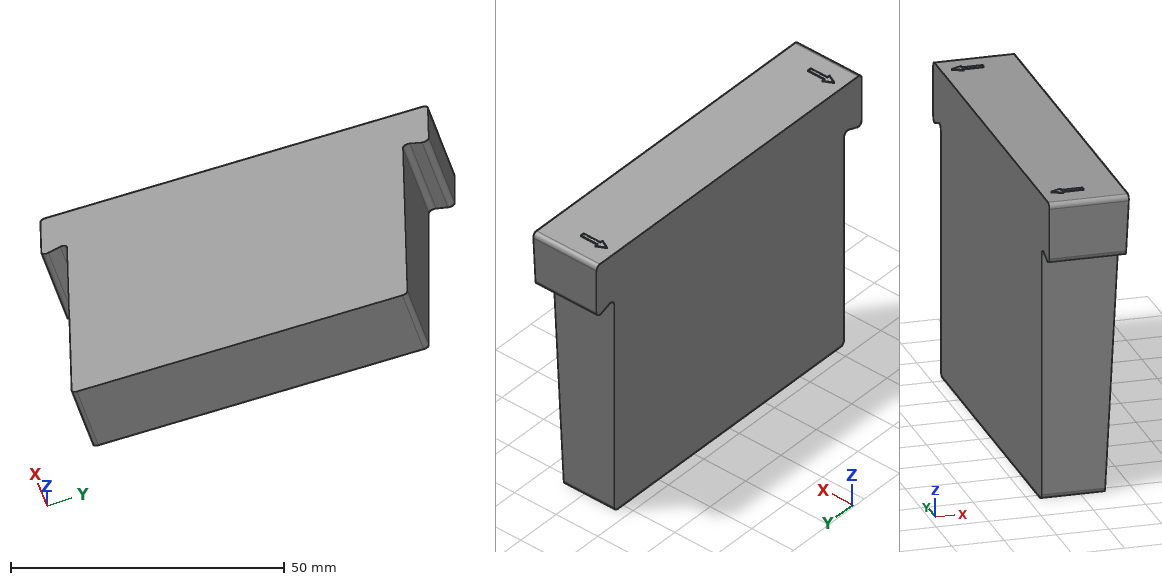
import cadquery as cq
import math

height = 60.0
top_thickness = 15.25
draft_angle = 3.0
bottom_thickness = top_thickness - height * math.tan(math.radians(draft_angle))

head_width = 75.0
blade_width = 65.0
hook_depth = 12.2
hook_angle = 20.0
corner_radius = 1.0

arrow_relief = 0.2
arrow_tip_x = 2.0
arrow_neck_x = 4.0
arrow_tail_x = 8.0
arrow_head_width = 2.0
arrow_shaft_width = 0.8
arrow_offset_y = 32.1


def make_plate():
    """T-shaped plate with rounded edges and hooked shoulders."""
    half_head = head_width / 2
    half_blade = blade_width / 2
    hook_z = height - hook_depth
    root_z = hook_z + (half_head - half_blade) * math.tan(math.radians(hook_angle))
    return (
        cq.Workplane("YZ")
        .polyline([
            (-half_blade, 0),
            (half_blade, 0),
            (half_blade, root_z),
            (half_head, hook_z),
            (half_head, height),
            (-half_head, height),
            (-half_head, hook_z),
            (-half_blade, root_z),
        ])
        .close()
        .extrude(top_thickness)
        .edges("|X")
        .fillet(corner_radius)
    )


def make_draft_envelope():
    """Wedge that limits the plate to its drafted thickness."""
    return (
        cq.Workplane("XZ")
        .polyline([
            (0, 0),
            (bottom_thickness, 0),
            (top_thickness, height),
            (0, height),
        ])
        .close()
        .extrude(head_width / 2, both=True)
    )


def make_arrow(center_y):
    """Raised arrow standing on the top face."""
    half_arrowhead = arrow_head_width / 2
    half_shaft = arrow_shaft_width / 2
    return (
        cq.Workplane("XY", origin=(0, center_y, height))
        .polyline([
            (arrow_tip_x, 0),
            (arrow_neck_x, -half_arrowhead),
            (arrow_neck_x, -half_shaft),
            (arrow_tail_x, -half_shaft),
            (arrow_tail_x, half_shaft),
            (arrow_neck_x, half_shaft),
            (arrow_neck_x, half_arrowhead),
        ])
        .close()
        .extrude(arrow_relief)
    )


result = make_plate().intersect(make_draft_envelope())
for side in (-1, 1):
    result = result.union(make_arrow(side * arrow_offset_y))